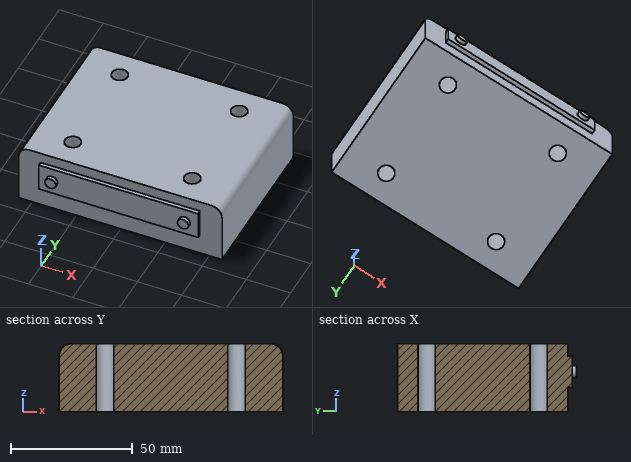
import cadquery as cq

block_width = 92.0
block_depth = 70.0
block_height = 28.0
edge_radius = 5.0

hole_diameter = 7.0
hole_spacing_x = 54.0
hole_spacing_y = 46.0

total_depth = 73.6
plate_width = 72.0
plate_height = 13.0
plate_thickness = 1.8
plate_top_gap = 5.0
pin_diameter = 5.0
pin_spacing = 60.0

plate_center_z = block_height - plate_top_gap - plate_height / 2
pin_reach = total_depth - block_depth


def make_block():
    """Block with its two long top edges rounded and four holes drilled through."""
    block = cq.Workplane("XY").box(
        block_width, block_depth, block_height, centered=(True, False, False)
    )
    block = block.edges("|Y and >Z").fillet(edge_radius)
    return (
        block.faces(">Z")
        .workplane(origin=(0, block_depth / 2, block_height))
        .rarray(hole_spacing_x, hole_spacing_y, 2, 2)
        .hole(hole_diameter)
    )


def front_plane():
    """Workplane on the front face, centred on the plate and facing -Y."""
    return cq.Workplane("XZ", origin=(0, 0, plate_center_z))


plate = front_plane().rect(plate_width, plate_height).extrude(plate_thickness)
pins = (
    front_plane()
    .rarray(pin_spacing, 0.9, 2, 1)
    .circle(pin_diameter / 2)
    .extrude(pin_reach)
)

result = make_block().union(plate).union(pins)